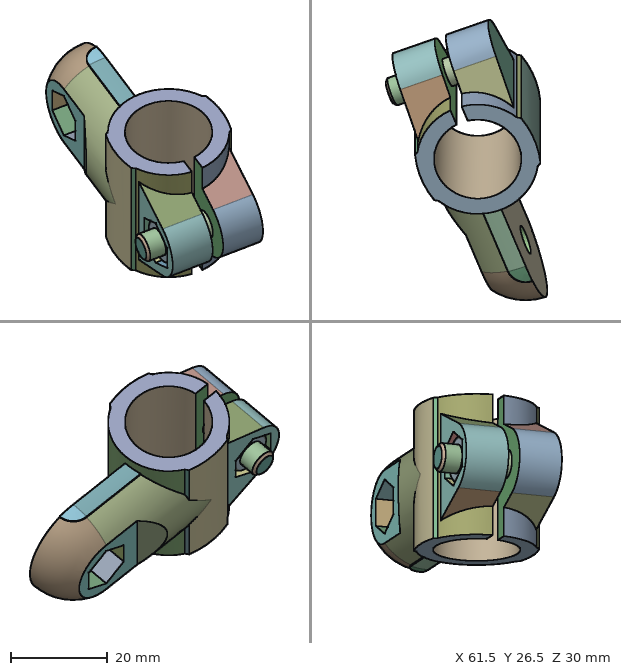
import cadquery as cq
import math


overall_length = 61.5

hex_across_flats = 10.0
hex_across_corners = hex_across_flats / math.cos(math.pi / 6)

ring_height = 30.0
ring_diameter = 25.0
ring_radius = ring_diameter / 2
bore_diameter = 18.0
pad_half_width = 5.55
pad_root_half_width = 6.0
pad_bulge_radius = 20.0
slot_width = 2.45

bolt_x = 14.0
lug_end_radius = 7.5
lug_half_depth = 10.6
lug_taper_angle = math.radians(23.7)
bolt_diameter = 6.0
bolt_end_y = -14.0
bolt_chamfer = 0.6
nut_recess = 0.8
nut_height = 4.9
nut_seat_diameter = 9.9
nut_seat_depth = 0.6
nut_diameter = 9.6
nut_rim_radius = 0.5
nut_outer_y = -lug_half_depth + nut_recess
nut_inner_y = nut_outer_y + nut_height

arm_radius = ring_radius
pivot_x = bolt_x + lug_end_radius - overall_length + arm_radius
rib_half_width = 3.95
face_y = -9.8
face_end_x = -18.55
ramp_end_x = -ring_radius
arm_pocket_depth = 5.7
pivot_hole_diameter = 6.1


def rod_along_y(x, diameter, y_start, y_end):
    """Round bar parallel to Y at z = 0."""
    plane = cq.Workplane("XZ", origin=(x, y_start, 0))
    return plane.circle(diameter / 2).extrude(y_start - y_end)


def hexagon_along_y(x, y_start, y_end):
    """Hexagonal prism parallel to Y with two corners pointing up and down."""
    plane = cq.Workplane("XZ", origin=(x, y_start, 0))
    hexagon = plane.transformed(rotate=(0, 0, 90)).polygon(6, hex_across_corners)
    return hexagon.extrude(y_start - y_end)


def make_ring():
    """Tube wall with a gently bulged pad on the front and on the back."""
    base = cq.Workplane("XY", origin=(0, 0, -ring_height / 2))
    ring = base.circle(ring_radius).extrude(ring_height)
    bulge_drop = pad_bulge_radius - math.sqrt(pad_bulge_radius**2 - pad_half_width**2)
    pad_edge_y = ring_radius - bulge_drop
    root_y = math.sqrt(ring_radius**2 - pad_root_half_width**2)
    pads = (
        base.moveTo(-pad_root_half_width, -root_y)
        .lineTo(-pad_half_width, -pad_edge_y)
        .threePointArc((0, -ring_radius), (pad_half_width, -pad_edge_y))
        .lineTo(pad_root_half_width, -root_y)
        .lineTo(pad_root_half_width, root_y)
        .lineTo(pad_half_width, pad_edge_y)
        .threePointArc((0, ring_radius), (-pad_half_width, pad_edge_y))
        .lineTo(-pad_root_half_width, root_y)
        .close()
        .extrude(ring_height)
    )
    middle = cq.Workplane("XY").box(2 * pad_root_half_width, 3 * ring_radius, ring_height)
    return ring.cut(middle).union(pads)


def arm_section():
    """Half-round section at the pivot with a bulged rib at the top and at the bottom."""
    bulge_drop = pad_bulge_radius - math.sqrt(pad_bulge_radius**2 - rib_half_width**2)
    rib_edge_z = arm_radius - bulge_drop
    rib_root_z = math.sqrt(arm_radius**2 - rib_half_width**2)
    mid_y = rib_half_width / 2
    mid_z = arm_radius - pad_bulge_radius + math.sqrt(pad_bulge_radius**2 - mid_y**2)
    return (
        cq.Workplane("YZ", origin=(pivot_x, 0, 0))
        .moveTo(0, arm_radius)
        .threePointArc((-mid_y, mid_z), (-rib_half_width, rib_edge_z))
        .lineTo(-rib_half_width, rib_root_z)
        .threePointArc((-arm_radius, 0), (-rib_half_width, -rib_root_z))
        .lineTo(-rib_half_width, -rib_edge_z)
        .threePointArc((-mid_y, -mid_z), (0, -arm_radius))
        .close()
    )


def make_arm():
    """Section run straight to the ring, turned about the pivot at its end, then cut flat in front."""
    bar = arm_section().extrude(-pivot_x)
    round_end = arm_section().revolve(180, (0, 0, 0), (0, -1, 0))
    arm = bar.union(round_end)
    far_x = pivot_x - arm_radius
    kept_outline = (
        cq.Workplane("XY", origin=(0, 0, -arm_radius))
        .moveTo(far_x, 0)
        .lineTo(far_x, face_y)
        .lineTo(face_end_x, face_y)
        .lineTo(ramp_end_x, -arm_radius)
        .lineTo(0, -arm_radius)
        .lineTo(0, 0)
        .close()
        .extrude(2 * arm_radius)
    )
    return arm.intersect(kept_outline)


def make_lugs():
    """Tapered block with a round end, reaching into the ring wall."""
    tangent_x = bolt_x + lug_end_radius * math.sin(lug_taper_angle)
    tangent_z = lug_end_radius * math.cos(lug_taper_angle)
    root_z = tangent_z + (tangent_x - pad_half_width) * math.tan(lug_taper_angle)
    return (
        cq.Workplane("XZ", origin=(0, lug_half_depth, 0))
        .moveTo(pad_half_width, -root_z)
        .lineTo(tangent_x, -tangent_z)
        .threePointArc((bolt_x + lug_end_radius, 0), (tangent_x, tangent_z))
        .lineTo(pad_half_width, root_z)
        .close()
        .extrude(2 * lug_half_depth)
    )


def make_nut():
    """Round nut with a rounded outer rim, sunk below the lug face."""
    nut = rod_along_y(bolt_x, nut_diameter, nut_inner_y, nut_outer_y)
    return nut.faces("<Y").edges().fillet(nut_rim_radius)


body = make_ring().union(make_arm()).union(make_lugs())

bore = cq.Workplane("XY").circle(bore_diameter / 2).extrude(ring_height, both=True)
slot_length = bolt_x + lug_end_radius
slot = cq.Workplane("XY").box(slot_length, slot_width, ring_height).translate((slot_length / 2, 0, 0))
body = body.cut(bore).cut(slot)

body = body.cut(hexagon_along_y(pivot_x, face_y + arm_pocket_depth, face_y))
body = body.cut(rod_along_y(pivot_x, pivot_hole_diameter, 0, face_y))

nut_pocket = hexagon_along_y(bolt_x, nut_inner_y - nut_seat_depth, -lug_half_depth)
nut_seat = rod_along_y(bolt_x, nut_seat_diameter, nut_inner_y, nut_outer_y)
bolt = rod_along_y(bolt_x, bolt_diameter, lug_half_depth, bolt_end_y).faces("<Y").chamfer(bolt_chamfer)
result = body.cut(nut_pocket).cut(nut_seat).union(make_nut()).union(bolt)